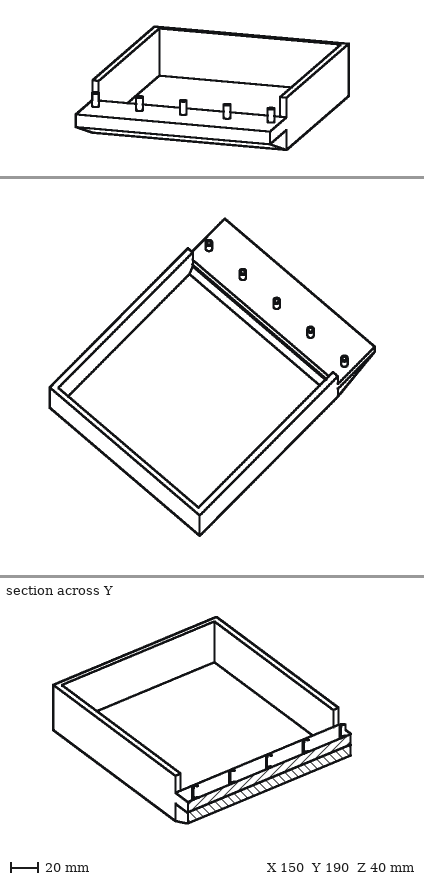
import cadquery as cq

width = 150.0
length = 190.0
height = 40.0
side_wall = 5.0
back_wall = 4.0
floor_thickness = 4.0

ledge_depth = 40.0
ledge_top = 25.0
ledge_thickness = 9.7
ledge_bottom = ledge_top - ledge_thickness

ramp_run = 3.6
ramp_top = 12.5

pin_diameter = 5.0
pin_bore = 3.0
pin_height = 10.0
pin_count = 5
pin_pitch = 33.8
pin_setback = 25.0

box_front = ledge_depth
cavity_back = length - back_wall


def extrude_side_profile(points, thickness):
    """Extrude a (Y, Z) outline along X, centred on X = 0."""
    return cq.Workplane("YZ").polyline(points).close().extrude(thickness / 2, both=True)


def make_tray():
    """Open box with a flat ledge in front and a steep ramp at the front of its floor."""
    outer = extrude_side_profile(
        [
            (0, ledge_bottom),
            (box_front, ledge_bottom),
            (box_front, 0),
            (length, 0),
            (length, height),
            (box_front, height),
            (box_front, ledge_top),
            (0, ledge_top),
        ],
        width,
    )
    cavity = extrude_side_profile(
        [
            (box_front, ramp_top),
            (box_front + ramp_run, floor_thickness),
            (cavity_back, floor_thickness),
            (cavity_back, height),
            (box_front, height),
            (box_front, ledge_top),
        ],
        width - 2 * side_wall,
    )
    return outer.cut(cavity)


def make_wedge():
    """Triangular support filling the corner between the ledge and the box front."""
    return extrude_side_profile(
        [(0, ledge_bottom), (box_front, ledge_bottom), (box_front, 0)], width
    )


def make_pin(x):
    """Tube standing on the ledge at the given X."""
    return (
        cq.Workplane("XY", origin=(x, pin_setback, ledge_top))
        .circle(pin_diameter / 2)
        .circle(pin_bore / 2)
        .extrude(pin_height)
    )


tray = make_tray()
wedge = make_wedge()

first_pin_x = -pin_pitch * (pin_count - 1) / 2
pins = []
for index in range(pin_count):
    pins.append(make_pin(first_pin_x + index * pin_pitch).val())

result = cq.Compound.makeCompound([tray.val(), wedge.val(), *pins])